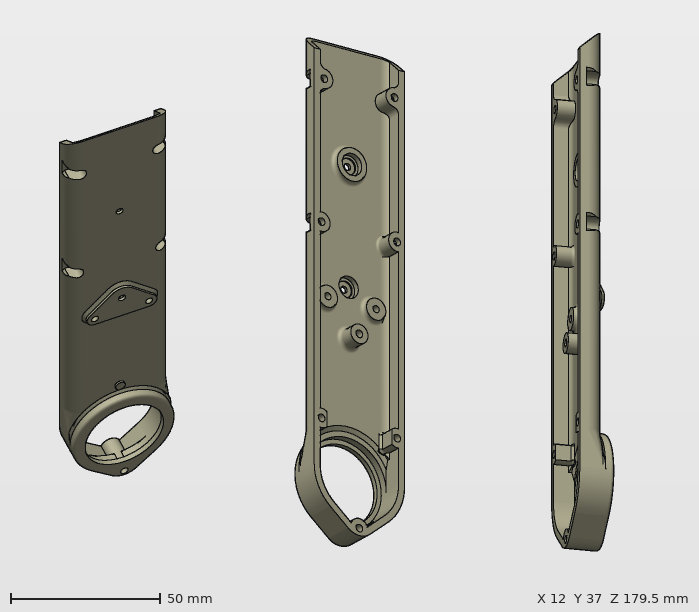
import cadquery as cq
import math


total_length = 179.5
ring_depth = 12.0
half_width = 18.5
tip_reach = 21.9
top_z = total_length - tip_reach
wall = 2.5
shell_depth = 8.0
floor_thickness = 1.8
floor_x = shell_depth - floor_thickness
root_x = floor_x + floor_thickness / 2
corner_radius = 5.0
inner_half_width = half_width - wall
inner_corner_run = 2.9
inner_corner_rise = 1.0
bevel_drop = 7.2
cut_margin = 9.0

tip_radius = 7.2
blend_height = 14.0
blend_depth = 9.0
blend_end_radius = 0.2
ring_edge_fillet = 1.0
ring_foot = 0.9
bore_diameter = 28.5
ring_floor_x = 10.0
step_run = 1.6
step_depth = 0.9
step_radius = 18.0

screw_hole = 2.7
pin_hole = 2.5
foot_radius = 1.5
side_boss_diameter = 7.0
upper_boss_y, upper_boss_z = 14.4, 140.2
middle_boss_y, middle_boss_z = 15.5, 88.2
lower_boss_y, lower_boss_z = 15.5, 17.0
lower_boss_flat_y = 13.3
upper_boss_blend = 2.5
side_boss_foot = 0.9
tip_boss_z = -19.2
blind_hole_depth = 5.0
notch_width = 4.7
notch_flare = 0.9
notch_floor_x = 2.3

big_pad_diameter, big_pad_z = 12.0, 114.0
centre_hole_z = 70.2
side_pad_diameter, side_pad_y, side_pad_z = 7.9, 9.9, 64.0
pad_height = 2.0
pad_face_x = floor_x - pad_height
pin_diameter, pin_z = 7.0, 51.2
recess_outer, recess_inner = 7.9, 6.0
recess_depth = 2.2
recess_step = 0.5

back_pad_x = 10.0
back_pad_top_radius = 5.2
back_pad_side_radius = 2.9
back_pad_flare = 1.0
button_diameter, button_z = 3.6, 22.0
button_height = 0.7


def cylinder(diameter, y, z, x_start, x_end):
    """Round bar along X."""
    return (
        cq.Workplane("YZ", origin=(x_start, y, z))
        .circle(diameter / 2)
        .extrude(x_end - x_start)
    )


def box(x0, x1, y0, y1, z0, z1):
    """Block given by its limits along each axis."""
    return cq.Workplane("XY").box(x1 - x0, y1 - y0, z1 - z0, centered=False).translate((x0, y0, z0))


def channel_section(half, depth, run, rise, bend_run, bend_rise, z):
    """Wire across the channel at height z; each back corner is one arc, run wide and rise deep.

    The middle of the arc lies bend_run in from the side and bend_rise in from the back.
    """
    return (
        cq.Workplane("XY", origin=(0, 0, z))
        .moveTo(0, -half)
        .lineTo(depth - rise, -half)
        .threePointArc((depth - bend_rise, -half + bend_run), (depth, -half + run))
        .lineTo(depth, half - run)
        .threePointArc((depth - bend_rise, half - bend_run), (depth - rise, half))
        .lineTo(0, half)
        .close()
    )


def rounded_section(depth, radius, z):
    """Outer wire of the channel with quarter-round back corners."""
    inset = radius * (1 - math.sqrt(0.5))
    return channel_section(half_width, depth, radius, radius, inset, inset, z)


def tip_outline(x, round_radius, point_radius, point_z):
    """Round outline about the origin, drawn down to a smaller arc at the tip by tangent lines."""
    slope = math.asin((round_radius - point_radius) / -point_z)
    cos_slope = math.cos(slope)
    sin_slope = math.sin(slope)
    round_point = (round_radius * cos_slope, -round_radius * sin_slope)
    tip_point = (point_radius * cos_slope, point_z - point_radius * sin_slope)
    return (
        cq.Workplane("YZ", origin=(x, 0, 0))
        .moveTo(*round_point)
        .threePointArc((0, round_radius), (-round_point[0], round_point[1]))
        .lineTo(-tip_point[0], tip_point[1])
        .threePointArc((0, point_z - point_radius), tip_point)
        .close()
    )


def footed_boss(diameter, y, z, x_top, foot):
    """Round boss along X whose base flares out in a concave fillet."""
    radius = diameter / 2
    bend = foot * (1 - math.sqrt(0.5))
    profile = (
        cq.Workplane("XY")
        .moveTo(x_top, 0)
        .lineTo(x_top, radius)
        .lineTo(floor_x - foot, radius)
        .threePointArc((floor_x - bend, radius + bend), (floor_x, radius + foot))
        .lineTo(root_x, radius + foot)
        .lineTo(root_x, 0)
        .close()
    )
    return profile.revolve(360, (0, 0, 0), (1, 0, 0)).translate((0, y, z))


def outer_body():
    """Channel, ring block and the blend between them, bevelled at the upper end."""
    channel = rounded_section(shell_depth, corner_radius, blend_height)
    body = channel.extrude(top_z - blend_height)
    blend_low = rounded_section(blend_depth, blend_end_radius, 0).wires().val()
    blend_high = rounded_section(shell_depth, corner_radius, blend_height).wires().val()
    blend = cq.Workplane(cq.Solid.makeLoft([blend_low, blend_high], True))
    ring = (
        tip_outline(0, half_width, tip_radius, tip_radius - tip_reach)
        .extrude(ring_depth)
        .faces(">X")
        .edges()
        .fillet(ring_edge_fillet)
    )
    foot = (
        cq.Workplane("XY")
        .moveTo(shell_depth, 0)
        .lineTo(shell_depth, half_width + ring_foot)
        .lineTo(shell_depth + ring_foot, half_width)
        .lineTo(shell_depth + ring_foot, 0)
        .close()
        .revolve(360, (0, 0, 0), (1, 0, 0))
        .intersect(box(0, ring_depth, -half_width, half_width, 0, top_z))
    )
    bevel = (
        cq.Workplane("XZ", origin=(0, half_width, 0))
        .polyline([(0, top_z - bevel_drop), (shell_depth, top_z), (0, top_z)])
        .close()
        .extrude(2 * half_width)
    )
    return body.union(blend).union(ring).union(foot).cut(bevel)


def cavity():
    """Open interior of the channel and the stepped interior of the ring."""
    arc_radius = (inner_corner_run ** 2 + inner_corner_rise ** 2) / (2 * inner_corner_rise)
    half_angle = math.asin(inner_corner_run / arc_radius) / 2
    bend_run = inner_corner_run - arc_radius * math.sin(half_angle)
    bend_rise = arc_radius * (1 - math.cos(half_angle))
    channel = channel_section(
        inner_half_width, floor_x, inner_corner_run, inner_corner_rise, bend_run, bend_rise, 0
    )
    space = channel.extrude(top_z + cut_margin)
    space = space.union(
        tip_outline(0, inner_half_width, tip_radius - wall, tip_radius - tip_reach).extrude(floor_x)
    )
    step = (
        cq.Workplane("XY")
        .lineTo(0, step_radius + step_run)
        .lineTo(floor_x, step_radius + step_run)
        .lineTo(floor_x + step_depth, step_radius)
        .lineTo(floor_x + step_depth, 0)
        .close()
        .revolve(360, (0, 0, 0), (1, 0, 0))
        .intersect(box(0, ring_depth, -inner_half_width, inner_half_width, 0, top_z))
    )
    space = space.union(step)
    return space.union(cylinder(2 * inner_half_width, 0, 0, 0, ring_floor_x))


def upper_boss(side):
    """Screw boss that runs into the side wall through two concave rounds."""
    radius = side_boss_diameter / 2
    reach = radius + upper_boss_blend
    blend_y = inner_half_width - upper_boss_blend
    blend_offset = blend_y - upper_boss_y
    blend_rise = math.sqrt(reach ** 2 - blend_offset ** 2)
    tangent_y = upper_boss_y + blend_offset * radius / reach
    web_low = upper_boss_z - blend_rise
    web_high = upper_boss_z + blend_rise
    web = box(0, floor_x, tangent_y, inner_half_width, web_low, web_high)
    for blend_z in (web_low, web_high):
        web = web.cut(cylinder(2 * upper_boss_blend, blend_y, blend_z, 0, floor_x))
    boss = cylinder(side_boss_diameter, upper_boss_y, upper_boss_z, 0, floor_x).union(web)
    return boss if side > 0 else boss.mirror("XZ")


def lower_boss(side):
    """Footed screw boss with a flat on the side that faces the middle."""
    boss = footed_boss(side_boss_diameter, lower_boss_y, lower_boss_z, 0, side_boss_foot)
    kept = (
        cq.Workplane("XY")
        .moveTo(0, half_width)
        .lineTo(0, lower_boss_flat_y)
        .lineTo(floor_x - side_boss_foot, lower_boss_flat_y)
        .lineTo(floor_x, lower_boss_flat_y - side_boss_foot)
        .lineTo(root_x, lower_boss_flat_y - side_boss_foot)
        .lineTo(root_x, half_width)
        .close()
        .extrude(top_z)
    )
    boss = boss.intersect(kept)
    return boss if side > 0 else boss.mirror("XZ")


def notch(side, y, z):
    """Screw-head pocket from the back, open through the side wall with a flared mouth."""
    throat = notch_width / 2
    mouth = throat + notch_flare
    slot = (
        cq.Workplane("YZ", origin=(notch_floor_x, 0, z))
        .polyline(
            [
                (side * y, -throat),
                (side * (half_width - notch_flare), -throat),
                (side * half_width, -mouth),
                (side * half_width, mouth),
                (side * (half_width - notch_flare), throat),
                (side * y, throat),
            ]
        )
        .close()
        .extrude(shell_depth - notch_floor_x)
    )
    return slot.union(cylinder(notch_width, side * y, z, notch_floor_x, shell_depth))


def stepped_recess(z, x_face):
    """Two round steps leading to a hole on the centre line."""
    x_ledge = x_face + recess_depth
    wide = cylinder(recess_outer, 0, z, x_face, x_ledge)
    return wide.union(cylinder(recess_inner, 0, z, x_ledge, x_ledge + recess_step))


def pad_outline(x, growth):
    """Three lobes joined by tangent lines, grown outward by the given amount."""
    top = (0, centre_hole_z, back_pad_top_radius + growth)
    left = (-side_pad_y, side_pad_z, back_pad_side_radius + growth)
    right = (side_pad_y, side_pad_z, back_pad_side_radius + growth)

    spacing = math.hypot(side_pad_y, centre_hole_z - side_pad_z)
    slope = math.atan2(side_pad_z - centre_hole_z, side_pad_y)
    normal = slope + math.acos((back_pad_top_radius - back_pad_side_radius) / spacing)
    up = math.pi / 2
    down = -up
    middle = (normal + down) / 2

    def on_lobe(lobe, angle):
        y, z, radius = lobe
        return (y + radius * math.cos(angle), z + radius * math.sin(angle))

    return (
        cq.Workplane("YZ", origin=(x, 0, 0))
        .moveTo(*on_lobe(left, down))
        .lineTo(*on_lobe(right, down))
        .threePointArc(on_lobe(right, middle), on_lobe(right, normal))
        .lineTo(*on_lobe(top, normal))
        .threePointArc(on_lobe(top, up), on_lobe(top, math.pi - normal))
        .lineTo(*on_lobe(left, math.pi - normal))
        .threePointArc(on_lobe(left, math.pi - middle), on_lobe(left, down))
        .close()
    )


def back_pad():
    """Raised three-lobed pad on the back, flared where it meets the shell."""
    flare_x = shell_depth + back_pad_flare
    root = pad_outline(root_x, back_pad_flare).extrude(shell_depth - root_x)
    flare_wide = pad_outline(shell_depth, back_pad_flare).wires().val()
    flare_narrow = pad_outline(flare_x, 0).wires().val()
    flare = cq.Workplane(cq.Solid.makeLoft([flare_wide, flare_narrow], True))
    rim = pad_outline(flare_x, 0).extrude(back_pad_x - flare_x)
    return root.union(flare).union(rim)


sides = (-1, 1)
outer = outer_body()
result = outer.cut(cavity())

inside = footed_boss(big_pad_diameter, 0, big_pad_z, pad_face_x, foot_radius)
inside = inside.union(footed_boss(pin_diameter, 0, pin_z, 0, foot_radius))
inside = inside.union(cylinder(side_boss_diameter, 0, tip_boss_z, 0, ring_floor_x))
for side in sides:
    inside = inside.union(
        footed_boss(side_pad_diameter, side * side_pad_y, side_pad_z, pad_face_x, foot_radius)
    )
    inside = inside.union(upper_boss(side))
    inside = inside.union(
        footed_boss(side_boss_diameter, side * middle_boss_y, middle_boss_z, 0, side_boss_foot)
    )
    inside = inside.union(lower_boss(side))
result = result.union(inside.intersect(outer))

result = result.union(back_pad())
result = result.union(cylinder(button_diameter, 0, button_z, floor_x, shell_depth + button_height))

result = result.cut(cylinder(bore_diameter, 0, 0, 0, ring_depth))
result = result.cut(stepped_recess(big_pad_z, pad_face_x))
result = result.cut(stepped_recess(centre_hole_z, floor_x))
result = result.cut(cylinder(screw_hole, 0, tip_boss_z, 0, ring_depth))
for z in (big_pad_z, centre_hole_z):
    result = result.cut(cylinder(pin_hole, 0, z, 0, ring_depth))
result = result.cut(cylinder(screw_hole, 0, pin_z, 0, blind_hole_depth))
for side in sides:
    result = result.cut(cylinder(pin_hole, side * side_pad_y, side_pad_z, 0, ring_depth))
    result = result.cut(cylinder(screw_hole, side * lower_boss_y, lower_boss_z, 0, blind_hole_depth))
    for y, z in ((upper_boss_y, upper_boss_z), (middle_boss_y, middle_boss_z)):
        result = result.cut(cylinder(screw_hole, side * y, z, 0, shell_depth))
        result = result.cut(notch(side, y, z))